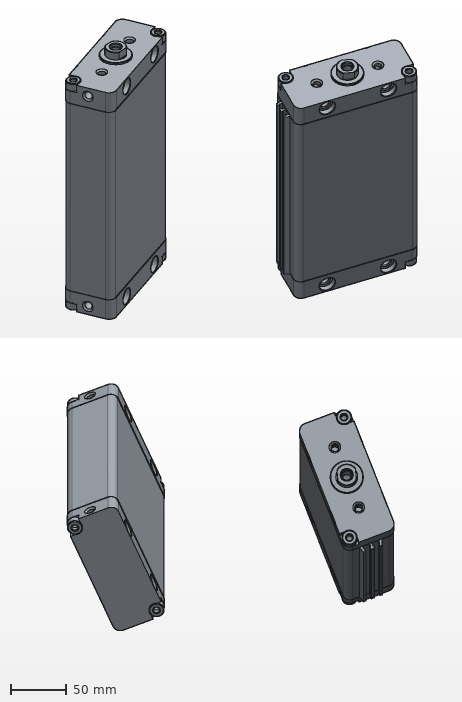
import cadquery as cq
import math

total_height = 252.0
body_height = 242.0

cap_width = 50.0
cap_length = 120.5
cap_height = 21.0
cap_corner_radius = 7.3

barrel_width = 48.6
barrel_length = 121.2
barrel_corner_radius = 6.8

rail_height = 5.3
rail_head_depth = 2.5
middle_rib_stem_width = 2.3
middle_rib_head_width = 4.0
middle_rib_bevel = 0.8
side_rib_neck_x = 7.5
side_rib_lip_x = 6.8
side_rib_top_x = 9.0
side_rib_foot_x = 10.8
side_rib_flank_bow = 0.15

screw_head_diameter = 13.9
screw_head_height = 7.8
screw_head_chamfer = 0.8
screw_edge_gap = 0.3
pocket_wall_offset = 6.5
socket_diameter = 5.5
socket_mouth_diameter = 7.0
socket_depth = 5.5

drill_tip_angle = 118

thread_diameter = 7.3
thread_mouth_diameter = 10.5
port_depth = 16.5
face_hole_depth = 15.0

cross_hole_diameter = 8.3
cross_hole_spacing = 60.0
cross_hole_inset = 8.8
cross_hole_chamfer = 1.0
counterbore_diameter = 15.0
counterbore_depth = 5.5
counterbore_chamfer = 0.5

collar_diameter = 30.0
collar_height = 2.0
collar_chamfer = 0.5

rod_diameter = 20.0
rod_chamfer = 0.5
rod_flats_width = 17.0
rod_flats_angle = -15.4
rod_recess_diameter = 10.3
rod_recess_mouth_diameter = 11.8
rod_recess_depth = 3.3
rod_hole_diameter = 8.3
rod_hole_depth = 17.6

barrel_height = body_height - 2 * cap_height
collar_top = body_height + collar_height
screw_x = cap_width / 2 - screw_head_diameter / 2 - screw_edge_gap
screw_y = cap_length / 2 - screw_head_diameter / 2 - screw_edge_gap


def rounded_block(width, length, height, corner_radius):
    """Block centred on the Z axis, standing on Z = 0, with rounded upright corners."""
    block = cq.Workplane("XY").box(width, length, height, centered=(True, True, False))
    return block.edges("|Z").fillet(corner_radius)


def blind_hole(diameter, depth, mouth_diameter, tip_angle=None):
    """Cutter for a hole from the origin towards -Z, with a 45 degree chamfer at a wider mouth.

    The bottom is flat, or a drill cone when a tip angle is given."""
    radius = diameter / 2
    mouth_radius = mouth_diameter / 2
    tip = radius / math.tan(math.radians(tip_angle / 2)) if tip_angle else 0
    outline = [(0, 0), (mouth_radius, 0), (radius, -depth), (0, -depth - tip)]
    if mouth_radius > radius:
        outline.insert(2, (radius, radius - mouth_radius))
    profile = cq.Workplane("XZ").polyline(outline).close()
    return profile.revolve(360, (0, 0, 0), (0, 1, 0))


def cap_screw_head():
    """Screw head whose top is at the origin."""
    head = cq.Workplane("XY").circle(screw_head_diameter / 2).extrude(-screw_head_height)
    head = head.faces(">Z").chamfer(screw_head_chamfer)
    return head.cut(blind_hole(socket_diameter, socket_depth, socket_mouth_diameter, drill_tip_angle))


def screw_pocket():
    """Cutter around a screw head, open towards +X and +Y, with the screw axis at the origin."""
    reach = screw_head_diameter
    seat = cq.Workplane("XY").circle(screw_head_diameter / 2).extrude(-screw_head_height)
    arm = cq.Workplane("XY").box(reach, reach + pocket_wall_offset, screw_head_height, centered=False)
    arm = arm.translate((0, -pocket_wall_offset, -screw_head_height))
    other_arm = cq.Workplane("XY").box(reach + pocket_wall_offset, reach, screw_head_height, centered=False)
    other_arm = other_arm.translate((-pocket_wall_offset, 0, -screw_head_height))
    return seat.union(arm).union(other_arm)


def cross_hole():
    """Cutter along X through a cap, with a counterbore at both ends, centred on the origin."""
    half_length = cap_width / 2
    hole_radius = cross_hole_diameter / 2
    bore_radius = counterbore_diameter / 2
    floor = half_length - counterbore_depth
    profile = (
        cq.Workplane("XY")
        .moveTo(0, 0)
        .lineTo(0, hole_radius)
        .lineTo(floor - cross_hole_chamfer, hole_radius)
        .lineTo(floor, hole_radius + cross_hole_chamfer)
        .lineTo(floor, bore_radius)
        .lineTo(half_length - counterbore_chamfer, bore_radius)
        .lineTo(half_length, bore_radius + counterbore_chamfer)
        .lineTo(half_length, 0)
        .close()
    )
    half = profile.revolve(360, (0, 0, 0), (1, 0, 0))
    return half.union(half.mirror("YZ"))


def end_cap():
    """Cap standing on Z = 0 with its outer end face upwards."""
    cap = rounded_block(cap_width, cap_length, cap_height, cap_corner_radius)

    pocket = screw_pocket()
    screw = cap_screw_head()
    for turn in (0, 180):
        corner = (screw_x, screw_y, cap_height)
        cap = cap.cut(pocket.translate(corner).rotate((0, 0, 0), (0, 0, 1), turn))
        cap = cap.union(screw.translate(corner).rotate((0, 0, 0), (0, 0, 1), turn))

    for side in (-1, 1):
        hole_y = side * cross_hole_spacing / 2
        cap = cap.cut(cross_hole().translate((0, hole_y, cap_height - cross_hole_inset)))

    port = blind_hole(thread_diameter, port_depth, thread_mouth_diameter)
    port = port.rotate((0, 0, 0), (1, 0, 0), 90)
    return cap.cut(port.translate((0, -cap_length / 2, cap_height - cross_hole_inset)))


def lower_cap():
    return end_cap().mirror("XY").translate((0, 0, cap_height))


def upper_cap():
    cap = end_cap().translate((0, 0, body_height - cap_height))
    collar = cq.Workplane("XY").circle(collar_diameter / 2).extrude(collar_height)
    collar = collar.faces(">Z").chamfer(collar_chamfer)
    cap = cap.union(collar.translate((0, 0, body_height)))

    face_hole = blind_hole(thread_diameter, face_hole_depth, thread_mouth_diameter)
    for side in (-1, 1):
        cap = cap.cut(face_hole.translate((0, side * cross_hole_spacing / 2, body_height)))

    rod_bore = cq.Workplane("XY").circle(rod_diameter / 2).extrude(total_height)
    return cap.cut(rod_bore)


def middle_rib():
    """T-shaped rib centred on X = 0, with Y measured from the barrel face."""
    half_stem = middle_rib_stem_width / 2
    half_head = middle_rib_head_width / 2
    head_base = rail_height - rail_head_depth
    right_half = [
        (half_stem, 0),
        (half_stem, head_base),
        (half_head, head_base),
        (half_head, rail_height - middle_rib_bevel),
        (half_head - middle_rib_bevel, rail_height),
    ]
    left_half = [(-x, y) for x, y in reversed(right_half)]
    return cq.Workplane("XY").polyline(right_half + left_half).close().extrude(barrel_height)


def side_rib():
    """Rib on the +X side, hooked towards the middle rib, with a slightly bowed, sloping outer flank."""
    head_base = rail_height - rail_head_depth
    outline = (
        cq.Workplane("XY")
        .moveTo(side_rib_foot_x, 0)
        .sagittaArc((side_rib_top_x, rail_height), -side_rib_flank_bow)
        .lineTo(side_rib_lip_x, rail_height)
        .lineTo(side_rib_lip_x, head_base)
        .lineTo(side_rib_neck_x, head_base)
        .lineTo(side_rib_neck_x, 0)
        .close()
    )
    return outline.extrude(barrel_height)


def barrel():
    body = rounded_block(barrel_width, barrel_length, barrel_height, barrel_corner_radius)
    for rib in (middle_rib(), side_rib(), side_rib().mirror("YZ")):
        body = body.union(rib.translate((0, barrel_length / 2, 0)))
    return body.translate((0, 0, cap_height))


def piston_rod():
    base = body_height - cap_height
    rod = cq.Workplane("XY").circle(rod_diameter / 2).extrude(total_height - base)
    rod = rod.faces(">Z").chamfer(rod_chamfer)
    rod = rod.translate((0, 0, base))
    flats_height = total_height - collar_top
    for side in (-1, 1):
        flat = cq.Workplane("XY").box(rod_diameter, 2 * rod_diameter, flats_height)
        flat = flat.translate((side * (rod_flats_width + rod_diameter) / 2, 0, (total_height + collar_top) / 2))
        rod = rod.cut(flat.rotate((0, 0, 0), (0, 0, 1), rod_flats_angle))
    recess = blind_hole(rod_recess_diameter, rod_recess_depth, rod_recess_mouth_diameter)
    hole = blind_hole(rod_hole_diameter, rod_hole_depth, rod_hole_diameter, drill_tip_angle)
    return rod.cut(recess.union(hole).translate((0, 0, total_height)))


result = cq.Compound.makeCompound(
    [barrel().val(), lower_cap().val(), upper_cap().val(), piston_rod().val()]
)